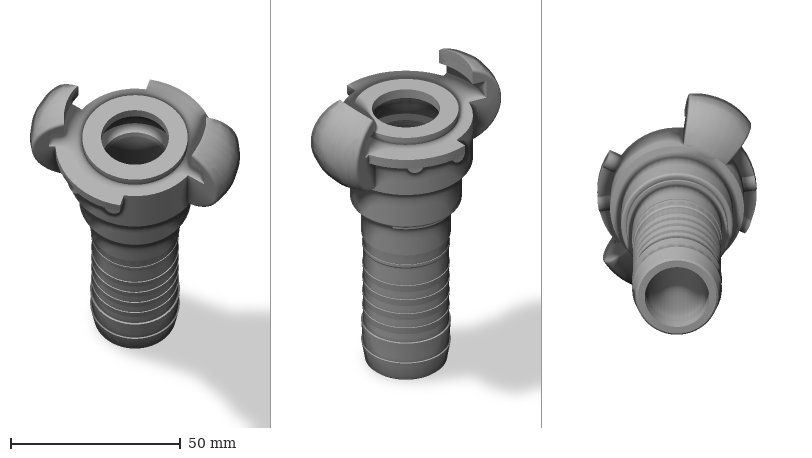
import cadquery as cq
import math


SHOULDER_Z = 55.5
HEAD_BOTTOM_Z = 57.2
BODY_BOTTOM_Z = 70.3
RIM_Z = 86.2
LIP_TOP_Z = 88.7
TOP_Z = 98.2

COLLAR_RADIUS = 16.5
COLLAR_ROUND = 0.8
BODY_RADIUS = 19.7
BODY_TAPER_HEIGHT = 0.9
LIP_RADIUS = 15.5
MOUTH_RADIUS = 10.0
MOUTH_DEPTH = 3.0
CAVITY_DEPTH = 10.8

CAM_RADIUS = 47.0 / 2
CAM_THICKNESS = 3.0
STOP_RADIUS = 2.5
STOP_CENTRE_Z = 84.0
CATCH_ANGLE = 35.0
CAM_SWEEP = 75.0

CLAW_REACH = 62.9 / 2
CLAW_CURVE = 13.9
CLAW_CROWN = 19.6
CLAW_HALF_WIDTH = 1.1
CLAW_FLANK_ANGLE = 18.0
CLAW_EDGE_ROUND = 0.8
CLAW_TIP_RADIUS = 21.0
CLAW_SLOT_RADIUS = 25.4
CLAW_SLOT_HEIGHT = 6.0
CLAW_ROOT_RADIUS = 14.7

SHANK_RADIUS = 13.3
BORE_RADIUS = 19.0 / 2
BORE_MOUTH_RADIUS = 9.8
BORE_MOUTH_HEIGHT = 1.5
CORE_RADIUS = 12.7
WAIST_RADIUS = 12.8
BARB_RADIUS = 13.0
BARB_HEIGHT = 2.4
BARB_PITCH = 5.0
FIRST_BARB_Z = 16.9
BARB_COUNT = 4
NECK_TOP_Z = 45.4
NECK_TOP_RADIUS = 13.1
NECK_BOTTOM_Z = 41.7
NECK_BOTTOM_RADIUS = 12.8
BEAD_BOTTOM_Z = 40.9
BEAD_TAPER = 0.6
UPPER_BARB_Z = 13.9
LOWER_BARB_Z = 6.9
NOSE_RADIUS = 12.2
NOSE_CHAMFER = 0.6

GROOVE_RADIUS = 25.0 / 2
RING_RADIUS = 14.8
RING_BOTTOM_Z = 55.7
RING_THICKNESS = 1.2
RING_GAP_START = 109.0
RING_GAP_END = 212.0
RING_END_ROUND = 0.6

SHANK_TOP_Z = LIP_TOP_Z - CAVITY_DEPTH


def cylinder(radius, bottom, top):
    return cq.Workplane("XY").workplane(offset=bottom).circle(radius).extrude(top - bottom)


def sector(radius, start, end, bottom, top):
    """Pie slice about the axis between two angles, in degrees, under 180 apart."""
    def on_circle(angle):
        turn = math.radians(angle)
        return (radius * math.cos(turn), radius * math.sin(turn))

    outline = (
        cq.Workplane("XY").workplane(offset=bottom)
        .lineTo(*on_circle(start))
        .threePointArc(on_circle((start + end) / 2), on_circle(end))
        .close()
    )
    return outline.extrude(top - bottom)


def revolved(points):
    """Turn a closed (radius, z) outline about the Z axis."""
    return cq.Workplane("XZ").polyline(points).close().revolve(360, (0, 0), (0, 1))


def make_head_core():
    collar = cylinder(COLLAR_RADIUS, HEAD_BOTTOM_Z, RIM_Z)
    collar = collar.faces("<Z").edges().fillet(COLLAR_ROUND)
    body = revolved([
        (0, BODY_BOTTOM_Z),
        (COLLAR_RADIUS, BODY_BOTTOM_Z),
        (BODY_RADIUS, BODY_BOTTOM_Z + BODY_TAPER_HEIGHT),
        (BODY_RADIUS, RIM_Z),
        (0, RIM_Z),
    ])
    return collar.union(body).union(cylinder(LIP_RADIUS, RIM_Z, LIP_TOP_Z))


def make_cam():
    """Cam on the -Y side: a flange sector whose end stop and catch are rounded ribs."""
    end_angle = 270 - CAM_SWEEP
    rough_radius = CAM_RADIUS + STOP_RADIUS
    flange = sector(rough_radius, end_angle, 270, RIM_Z - CAM_THICKNESS, RIM_Z)
    stop_block = (
        cq.Workplane("XY")
        .box(2 * STOP_RADIUS, rough_radius, RIM_Z - STOP_CENTRE_Z, centered=(True, False, False))
        .translate((0, -rough_radius, STOP_CENTRE_Z))
    )
    rib = (
        cq.Workplane("XZ").center(0, STOP_CENTRE_Z)
        .circle(STOP_RADIUS).extrude(rough_radius)
    )
    catch = rib.rotate((0, 0, 0), (0, 0, 1), -CATCH_ANGLE)
    envelope = cylinder(CAM_RADIUS, STOP_CENTRE_Z - STOP_RADIUS, RIM_Z)
    return flange.union(stop_block).union(rib).union(catch).intersect(envelope)


def make_claw():
    """Claw on the +X side: a crowned barrel trimmed by two flanks, hollowed into a hook."""
    centre_x = CLAW_REACH - CLAW_CURVE
    centre_z = TOP_Z - math.sqrt(CLAW_CURVE ** 2 - (CLAW_TIP_RADIUS - centre_x) ** 2)
    half_length = CLAW_CURVE
    end_radius = CLAW_CURVE - CLAW_CROWN + math.sqrt(CLAW_CROWN ** 2 - half_length ** 2)
    barrel = (
        cq.Workplane("XY")
        .moveTo(0, -half_length)
        .lineTo(-end_radius, -half_length)
        .threePointArc((-CLAW_CURVE, 0), (-end_radius, half_length))
        .lineTo(0, half_length)
        .close()
        .revolve(360, (0, 0), (0, 1))
        .translate((centre_x, 0, centre_z))
    )

    def flank_y(x):
        return CLAW_HALF_WIDTH + x * math.tan(math.radians(CLAW_FLANK_ANGLE))

    wedge = (
        cq.Workplane("XY").workplane(offset=BODY_BOTTOM_Z)
        .polyline([
            (CLAW_ROOT_RADIUS, -flank_y(CLAW_ROOT_RADIUS)),
            (CLAW_REACH, -flank_y(CLAW_REACH)),
            (CLAW_REACH, flank_y(CLAW_REACH)),
            (CLAW_ROOT_RADIUS, flank_y(CLAW_ROOT_RADIUS)),
        ])
        .close()
        .extrude(TOP_Z + CLAW_EDGE_ROUND - BODY_BOTTOM_Z)
    )
    claw = barrel.intersect(wedge)
    back_edges = cq.selectors.BoxSelector(
        (CLAW_ROOT_RADIUS + CLAW_EDGE_ROUND, -CLAW_REACH, 0),
        (CLAW_REACH, CLAW_REACH, TOP_Z),
    )
    claw = claw.edges(back_edges).fillet(CLAW_EDGE_ROUND)
    slot_top = RIM_Z + CLAW_SLOT_HEIGHT
    claw = claw.cut(cylinder(CLAW_SLOT_RADIUS, RIM_Z, slot_top))
    return claw.cut(cylinder(CLAW_TIP_RADIUS, RIM_Z, TOP_Z + CLAW_CURVE))


def make_head_bore():
    """Mouth, curved seal cavity and the straight bore that holds the shank."""
    curve_top_z = LIP_TOP_Z - MOUTH_DEPTH
    curve_height = curve_top_z - SHANK_TOP_Z
    curve_inset = SHANK_RADIUS - MOUTH_RADIUS
    curve_radius = (curve_inset ** 2 + curve_height ** 2) / (2 * curve_inset)
    middle_angle = math.asin(curve_height / curve_radius) / 2
    middle = (
        SHANK_RADIUS - curve_radius + curve_radius * math.cos(middle_angle),
        SHANK_TOP_Z + curve_radius * math.sin(middle_angle),
    )
    return (
        cq.Workplane("XZ")
        .moveTo(0, HEAD_BOTTOM_Z)
        .lineTo(SHANK_RADIUS, HEAD_BOTTOM_Z)
        .lineTo(SHANK_RADIUS, SHANK_TOP_Z)
        .threePointArc(middle, (MOUTH_RADIUS, curve_top_z))
        .lineTo(MOUTH_RADIUS, LIP_TOP_Z)
        .lineTo(0, LIP_TOP_Z)
        .close()
        .revolve(360, (0, 0), (0, 1))
    )


def make_head():
    head = make_head_core()
    cam = make_cam()
    claw = make_claw()
    for turn in (0, 180):
        head = head.union(cam.rotate((0, 0, 0), (0, 0, 1), turn))
        head = head.union(claw.rotate((0, 0, 0), (0, 0, 1), turn))
    return head.cut(make_head_bore())


def make_snap_ring():
    """Split ring; its inner face lies on the floor of the shank groove."""
    ring_top_z = RING_BOTTOM_Z + RING_THICKNESS
    ring = cylinder(RING_RADIUS, RING_BOTTOM_Z, ring_top_z)
    ring = ring.cut(cylinder(GROOVE_RADIUS, RING_BOTTOM_Z, ring_top_z))
    gap = sector(2 * RING_RADIUS, RING_GAP_START, RING_GAP_END, RING_BOTTOM_Z, ring_top_z)
    ring = ring.cut(gap)
    mid_radius = (RING_RADIUS + GROOVE_RADIUS) / 2

    def is_outer(edge):
        middle = edge.Center()
        return math.hypot(middle.x, middle.y) > mid_radius

    return ring.edges("|Z").filter(is_outer).fillet(RING_END_ROUND)


def make_shank():
    outline = [
        (0, 0),
        (NOSE_RADIUS - NOSE_CHAMFER, 0),
        (NOSE_RADIUS, NOSE_CHAMFER),
        (SHANK_RADIUS, LOWER_BARB_Z),
        (WAIST_RADIUS, LOWER_BARB_Z),
        (SHANK_RADIUS, UPPER_BARB_Z),
        (CORE_RADIUS, UPPER_BARB_Z),
    ]
    for index in range(BARB_COUNT):
        barb_z = FIRST_BARB_Z + index * BARB_PITCH
        outline += [
            (CORE_RADIUS, barb_z),
            (BARB_RADIUS, barb_z + BARB_HEIGHT),
            (CORE_RADIUS, barb_z + BARB_HEIGHT),
        ]
    outline += [
        (CORE_RADIUS, BEAD_BOTTOM_Z - BEAD_TAPER),
        (BARB_RADIUS, BEAD_BOTTOM_Z),
        (BARB_RADIUS, NECK_BOTTOM_Z),
        (NECK_BOTTOM_RADIUS, NECK_BOTTOM_Z),
        (NECK_TOP_RADIUS, NECK_TOP_Z),
        (SHANK_RADIUS, NECK_TOP_Z),
        (SHANK_RADIUS, SHOULDER_Z),
        (GROOVE_RADIUS, SHOULDER_Z),
        (GROOVE_RADIUS, HEAD_BOTTOM_Z),
        (SHANK_RADIUS, HEAD_BOTTOM_Z),
        (SHANK_RADIUS, SHANK_TOP_Z),
        (0, SHANK_TOP_Z),
    ]
    bore = revolved([
        (0, 0),
        (BORE_RADIUS, 0),
        (BORE_RADIUS, SHANK_TOP_Z - BORE_MOUTH_HEIGHT),
        (BORE_MOUTH_RADIUS, SHANK_TOP_Z),
        (0, SHANK_TOP_Z),
    ])
    return revolved(outline).cut(bore).union(make_snap_ring())


head = make_head()
shank = make_shank()
result = cq.Compound.makeCompound([head.val(), shank.val()])